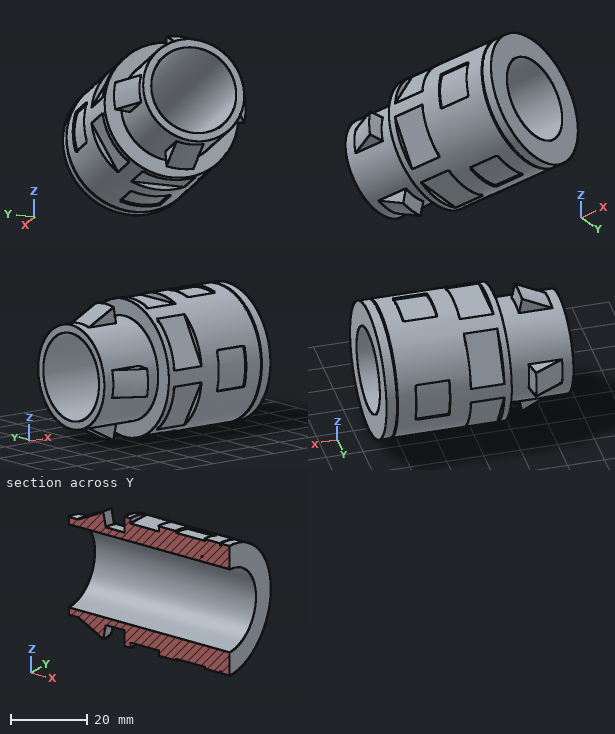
import cadquery as cq

length = 51.9
body_diameter = 37.0
spigot_diameter = 28.0
bore_diameter = 23.5
spigot_length = 17.95
body_radius = body_diameter / 2
spigot_radius = spigot_diameter / 2

barb_count = 4
barb_start = 3.0
barb_crest = 11.2
barb_end = 12.05
barb_crest_radius = 18.2
barb_width = 7.4
barb_root_radius = (spigot_radius + bore_diameter / 2) / 2

flat_count = 6
flat_start = 19.95
flat_end = 28.95
across_flats = 34.0

recess_count = 4
recess_start = 34.6
recess_end = 43.8
recess_width = 11.0
recess_floor_diameter = 36.0
recess_corner_radius = 0.5

collar_length = 2.9
seam_width = 0.2
seam_floor_diameter = 36.0


def cylinder(start, end, diameter):
    return cq.Workplane("YZ", origin=(start, 0, 0)).circle(diameter / 2).extrude(end - start)


def spaced_around(shape, count):
    """Combine equally spaced copies of a shape about the X axis."""
    pattern = shape
    for index in range(1, count):
        pattern = pattern.union(shape.rotate((0, 0, 0), (1, 0, 0), index * 360 / count))
    return pattern


def radial_block(start, end, width, height):
    """Block standing on the X axis and rising along +Z."""
    return cq.Workplane("XY").center((start + end) / 2, 0).rect(end - start, width).extrude(height)


def barb():
    """Sector of a double cone, cut to a parallel-sided tooth."""
    cone = (
        cq.Workplane("XZ")
        .moveTo(barb_start, barb_root_radius)
        .lineTo(barb_start, spigot_radius)
        .lineTo(barb_crest, barb_crest_radius)
        .lineTo(barb_end, spigot_radius)
        .lineTo(barb_end, barb_root_radius)
        .close()
        .revolve(360, (0, 0, 0), (1, 0, 0))
    )
    return cone.intersect(radial_block(barb_start, barb_end, barb_width, body_radius))


def flat_cutter():
    block = radial_block(flat_start, flat_end, body_diameter, body_radius - across_flats / 2)
    return block.translate((0, 0, across_flats / 2))


def recess_cutter():
    block = radial_block(recess_start, recess_end, recess_width, body_diameter)
    block = block.edges("|Z").fillet(recess_corner_radius)
    return block.cut(cylinder(recess_start, recess_end, recess_floor_diameter))


def seam_cutter():
    end = length - collar_length
    start = end - seam_width
    return cylinder(start, end, body_diameter).cut(cylinder(start, end, seam_floor_diameter))


spigot = cylinder(0, spigot_length, spigot_diameter)
body = cylinder(spigot_length, length, body_diameter)
result = (
    spigot.union(body)
    .union(spaced_around(barb(), barb_count))
    .cut(spaced_around(flat_cutter(), flat_count))
    .cut(spaced_around(recess_cutter(), recess_count))
    .cut(seam_cutter())
    .cut(cylinder(0, length, bore_diameter))
)